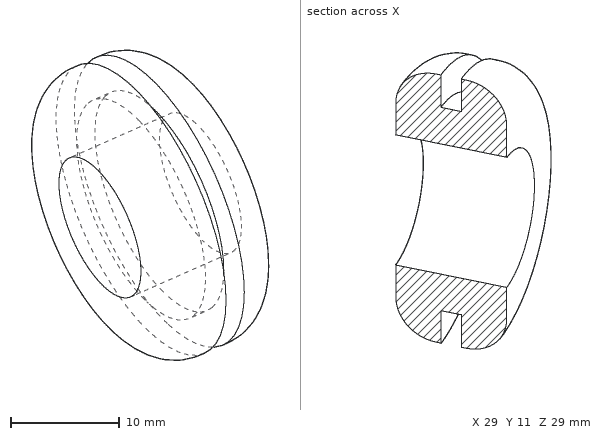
import cadquery as cq

outer_diameter = 29.0
bore_diameter = 14.0
groove_diameter = 22.0
thickness = 11.0
groove_width = 2.0
edge_radius = 4.0


def cylinder_along_y(diameter, length):
    """Cylinder on the Y axis, centred on the origin."""
    return cq.Workplane("XZ", origin=(0, length / 2, 0)).circle(diameter / 2).extrude(length)


def rounded_body():
    """Disc with both outer rims rounded."""
    return cylinder_along_y(outer_diameter, thickness).faces("<Y or >Y").edges().fillet(edge_radius)


def panel_groove():
    """Ring of material removed midway along the rim."""
    core = cylinder_along_y(groove_diameter, groove_width)
    return cylinder_along_y(outer_diameter, groove_width).cut(core)


bore = cylinder_along_y(bore_diameter, thickness)

result = rounded_body().cut(panel_groove()).cut(bore)